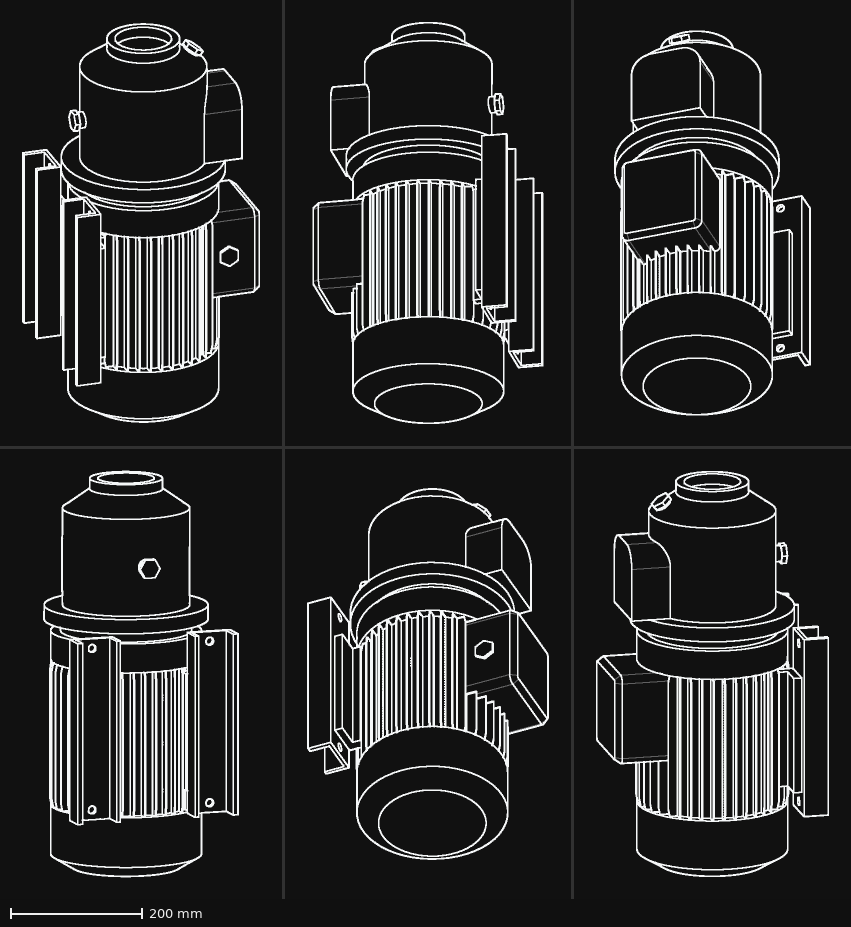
import cadquery as cq
import math


cowl_cone_top = 20.0
fins_bottom = 97.0
fins_top = 321.0
barrel_top = 366.0
flange_bottom = 383.5
flange_top = 405.5
pump_cylinder_top = 555.5
pump_cone_top = 585.0
pump_top = 601.5

cowl_bottom_radius = 82.0
motor_radius = 115.0
motor_neck_radius = 100.0

fin_core_radius = 100.0
fin_height = 16.8
fin_end_taper_length = 12.0
fin_end_taper_drop = 2.5
fin_thickness = 1.5
fin_root_depth = 5.0
fins_per_side = 10
fin_pitch_angle = 90.0 / fins_per_side
fin_pitch_radius = 110.0

terminal_width = 129.0
terminal_height = 140.0
terminal_face_y = 167.0
terminal_corner_radius = 11.0
terminal_chamfer_depth = 10.0
terminal_chamfer_inset = 7.0
gland_y = 115.5
gland_length = 4.0

rail_outer_x = 129.0
rail_width = 69.0
rail_depth = 38.0
rail_back_y = -150.0
rail_bottom = 99.0
rail_length = 280.0
rail_web_thickness = 6.0
rail_outer_wall = 8.0
rail_inner_wall = 6.0
rail_hole_diameter = 12.0
rail_hole_end_distance = 15.0
pad_outer_x = 113.5
pad_stem_outer_x = 75.0
pad_thickness = 12.5
pad_bottom = 133.5
pad_height = 181.0

flange_radius = 125.0
pump_radius = 97.0
collar_radius = 55.5
collar_bore_radius = 43.0
collar_bore_depth = pump_top - pump_cone_top
side_box_face_y = 140.0
side_box_top = 518.6
side_box_width = 2 * collar_radius
side_box_corner_radius = 31.0

hex_across_flats = 27.7
hex_across_corners = hex_across_flats / math.cos(math.radians(30))
plug_head_length = 8.0
plug_stem_diameter = 25.0
front_plug_z = 480.5
front_plug_length = 17.0
cone_plug_length = 10.0
stem_embedding = 10.0


def revolved(half_profile):
    """Turn a closed outline of (radius, height) points about the Z axis."""
    return cq.Workplane("XZ").polyline(half_profile).close().revolve(360, (0, 0), (0, 1))


def block(x_range, y_range, z_range):
    size = [high - low for low, high in (x_range, y_range, z_range)]
    corner = (x_range[0], y_range[0], z_range[0])
    return cq.Workplane("XY").box(*size, centered=False).translate(corner)


def screw_plug(seat_plane, length):
    """Hexagon-headed plug standing `length` above its seat, with its stem sunk into the wall."""
    stem = (
        cq.Workplane(seat_plane)
        .workplane(offset=-stem_embedding)
        .circle(plug_stem_diameter / 2)
        .extrude(stem_embedding + length - plug_head_length)
    )
    head = (
        cq.Workplane(seat_plane)
        .workplane(offset=length - plug_head_length)
        .polygon(6, hex_across_corners)
        .extrude(plug_head_length)
    )
    return stem.union(head)




def motor_core():
    return revolved([
        (0, 0),
        (cowl_bottom_radius, 0),
        (motor_radius, cowl_cone_top),
        (motor_radius, fins_bottom),
        (fin_core_radius, fins_bottom),
        (fin_core_radius, fins_top),
        (motor_radius, fins_top),
        (motor_radius, barrel_top),
        (motor_neck_radius, barrel_top),
        (motor_neck_radius, flange_bottom),
        (0, flange_bottom),
    ])


def fin_offset(index):
    """Sideways distance of a fin from the middle of its side; fins are evenly spaced in angle."""
    angle = (index - (fins_per_side - 1) / 2) * fin_pitch_angle
    return fin_pitch_radius * math.sin(math.radians(angle))


def fin_core_reach(offset):
    """Distance from the middle plane to the core surface, at a given sideways offset."""
    return math.sqrt(fin_core_radius**2 - offset**2)


def fin_tip_reach(offset):
    """Distance from the middle plane to the tip of a fin, at a given sideways offset."""
    return fin_core_reach(offset) + fin_height


def cooling_fin(offset):
    """Plate on the +X side, rising a fixed height above the core and tapered at both ends."""
    root = fin_core_reach(offset) - fin_root_depth
    tip = fin_tip_reach(offset)
    end = tip - fin_end_taper_drop
    return (
        cq.Workplane("XZ", origin=(0, offset, 0))
        .polyline([
            (root, fins_bottom),
            (end, fins_bottom),
            (tip, fins_bottom + fin_end_taper_length),
            (tip, fins_top - fin_end_taper_length),
            (end, fins_top),
            (root, fins_top),
        ])
        .close()
        .extrude(fin_thickness / 2, both=True)
    )


def cooling_fins():
    fins = cq.Workplane("XY")
    for index in range(fins_per_side):
        fin = cooling_fin(fin_offset(index))
        for quarter in range(4):
            fins = fins.add(fin.rotate((0, 0, 0), (0, 0, 1), 90 * quarter))
    return fins.combine()


def terminal_box():
    middle_z = fins_top - terminal_height / 2
    chamfer_start = terminal_face_y - terminal_chamfer_depth
    chamfer_angle = math.degrees(math.atan2(terminal_chamfer_inset, terminal_chamfer_depth))
    outline = (
        cq.Sketch()
        .rect(terminal_width, terminal_height)
        .vertices()
        .fillet(terminal_corner_radius)
    )
    axis_plane = cq.Plane(origin=(0, 0, middle_z), xDir=(-1, 0, 0), normal=(0, 1, 0))
    straight_part = cq.Workplane(axis_plane).placeSketch(outline).extrude(chamfer_start)
    chamfered_part = (
        cq.Workplane(axis_plane)
        .workplane(offset=chamfer_start)
        .placeSketch(outline)
        .extrude(terminal_chamfer_depth, taper=chamfer_angle)
    )
    box = straight_part.union(chamfered_part)
    gland_center = (terminal_width / 2, gland_y, middle_z)
    gland_plane = cq.Plane(origin=gland_center, xDir=(0, 0, 1), normal=(1, 0, 0))
    gland = cq.Workplane(gland_plane).polygon(6, hex_across_corners).extrude(gland_length)
    return box.union(gland)


def mounting_rail():
    """Channel on the +X side, open toward -Y, with the stepped pad joining it to two fins."""
    inner_x = rail_outer_x - rail_width
    web_y = rail_back_y + rail_depth
    rail_top = rail_bottom + rail_length
    rail = block((inner_x, rail_outer_x), (rail_back_y, web_y), (rail_bottom, rail_top))
    channel = block(
        (inner_x + rail_inner_wall, rail_outer_x - rail_outer_wall),
        (rail_back_y, web_y - rail_web_thickness),
        (rail_bottom, rail_top),
    )
    rail = rail.cut(channel)

    hole_x = inner_x + rail_width / 2
    for hole_z in (rail_bottom + rail_hole_end_distance, rail_top - rail_hole_end_distance):
        hole = (
            cq.Workplane("XZ", origin=(hole_x, web_y, hole_z))
            .circle(rail_hole_diameter / 2)
            .extrude(rail_web_thickness)
        )
        rail = rail.cut(hole)

    pad_inner_x = fin_offset(fins_per_side - 2) + fin_thickness / 2
    pad_z_range = (pad_bottom, pad_bottom + pad_height)
    pad = block((pad_inner_x, pad_outer_x), (web_y, web_y + pad_thickness), pad_z_range)
    outermost_fin_tip_y = -fin_tip_reach(fin_offset(fins_per_side - 1))
    stem = block((pad_inner_x, pad_stem_outer_x), (web_y, outermost_fin_tip_y), pad_z_range)
    return rail.union(pad).union(stem)


right_rail = mounting_rail()
motor = (
    motor_core()
    .union(cooling_fins())
    .union(terminal_box())
    .union(right_rail)
    .union(right_rail.mirror("YZ"))
)



def pump_housing():
    bore_floor = pump_top - collar_bore_depth
    return revolved([
        (0, flange_bottom),
        (flange_radius, flange_bottom),
        (flange_radius, flange_top),
        (pump_radius, flange_top),
        (pump_radius, pump_cylinder_top),
        (collar_radius, pump_cone_top),
        (collar_radius, pump_top),
        (collar_bore_radius, pump_top),
        (collar_bore_radius, bore_floor),
        (0, bore_floor),
    ])


def side_box():
    half_width = side_box_width / 2
    box = block((-half_width, half_width), (0, side_box_face_y), (flange_top, side_box_top))
    return box.edges("|Y and >Z").fillet(side_box_corner_radius)


def front_plug():
    seat = cq.Plane(origin=(0, -pump_radius, front_plug_z), xDir=(1, 0, 0), normal=(0, -1, 0))
    return screw_plug(seat, front_plug_length)


def cone_plug():
    """Plug square to the middle of the cone, on the +Y side."""
    cone_run = pump_radius - collar_radius
    cone_rise = pump_cone_top - pump_cylinder_top
    middle = (0, (pump_radius + collar_radius) / 2, (pump_cylinder_top + pump_cone_top) / 2)
    seat = cq.Plane(origin=middle, xDir=(1, 0, 0), normal=(0, cone_rise, cone_run))
    return screw_plug(seat, cone_plug_length)


pump = pump_housing().union(side_box()).union(front_plug()).union(cone_plug())

result = cq.Compound.makeCompound([motor.solids().val(), pump.solids().val()])